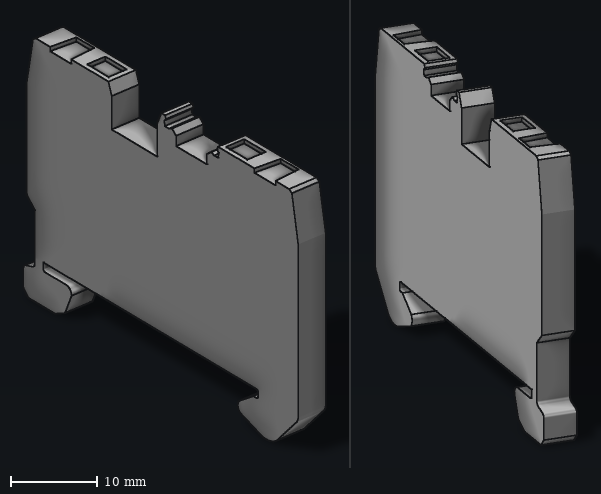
import cadquery as cq

LENGTH = 49.3
THICKNESS = 4.2
HEIGHT = 35.4

BODY_LEFT = 0.6
SHOULDER_Z = 28.7
TOP_LEFT = 1.75
TOP_RIGHT = 48.15
TOP_CHAMFER_X = 0.5
TOP_CHAMFER_Z = 0.35
SLOT_TOP = 5.95
SLOT_BOTTOM = 4.8
SLOT_LEFT = 3.6
SLOT_RIGHT = 42.1
SLOT_CORNER = 0.35
NECK_X = 2.05

NECK_STEP_BOTTOM = 12.3
NECK_STEP_TOP = 13.7

HEEL_UPPER_ARC = [(LENGTH, 5.45), (49.2, 5.1), (49.0, 4.75)]
HEEL_LOWER_ARC = [(45.4, 0.65), (43.65, 0), (42.75, 0.1)]
HOOK_TIP_ARC = [(38.85, 1.5), (38.45, 2.2), (38.7, 3.0)]
HOOK_RAMP_END_X = 41.25

TOE_ARC = [(7.65, SLOT_BOTTOM), (8.4, 4.5), (8.7, 3.75)]
FOOT_BASE = [(7.5, 0.9), (5.7, 0), (0.9, 0), (0, 0.95)]
FOOT_HEEL_ARC = [(0, 3.55), (0.15, 4.0), (0.5, 4.2)]
NECK_ROOT_ARC = [(1.7, 4.55), (1.95, 4.8), (NECK_X, 5.25)]

NOTCH_LEFT = 15.85
NOTCH_RIGHT = 24.0
NOTCH_FLOOR = 29.25
NOTCH_LEAD_Z = 33.7
NOTCH_LEFT_FLARE = 0.6
NOTCH_RIGHT_FLARE = 0.75

SEAT_CENTER = 30.15
SEAT_FLOOR = 32.15
SEAT_EDGE = [
    (4.75, HEIGHT),
    (4.6, 34.95),
    (4.9, 34.6),
    (4.8, 33.9),
    (4.05, 33.9),
    (3.5, 34.15),
    (2.75, 33.5),
    (2.75, SEAT_FLOOR),
]

POCKET_DEPTH = 0.6
SCREEN_POCKET_FRONT = 0.7
SCREEN_POCKET_BACK = 3.45
SCREEN_POCKET_WIDTH = 3.85
SCREEN_POCKET_CENTERS = [12.55, 37.45]
ENTRY_POCKET_BACK = 3.75
ENTRY_FRONT_WIDTH = 3.8
ENTRY_BACK_WIDTH = 3.2
ENTRY_POCKET_CENTERS = [6.7, 43.35]


def line_then_arc(outline, arc):
    """Draw a line to the arc's start, then the arc itself."""
    start, middle, end = arc
    return outline.lineTo(*start).threePointArc(middle, end)


def make_plate():
    """Closed X-Z outline, traced clockwise from the left shoulder and extruded along Y."""
    left_seat = [(SEAT_CENTER - x, z) for x, z in SEAT_EDGE]
    right_seat = [(SEAT_CENTER + x, z) for x, z in reversed(SEAT_EDGE)]
    top_edge = [
        (TOP_LEFT, HEIGHT - TOP_CHAMFER_Z),
        (TOP_LEFT + TOP_CHAMFER_X, HEIGHT),
        (NOTCH_LEFT - NOTCH_LEFT_FLARE, HEIGHT),
        (NOTCH_LEFT, NOTCH_LEAD_Z),
        (NOTCH_LEFT, NOTCH_FLOOR),
        (NOTCH_RIGHT, NOTCH_FLOOR),
        (NOTCH_RIGHT, NOTCH_LEAD_Z),
        (NOTCH_RIGHT + NOTCH_RIGHT_FLARE, HEIGHT),
        *left_seat,
        *right_seat,
        (TOP_RIGHT - TOP_CHAMFER_X, HEIGHT),
        (TOP_RIGHT, HEIGHT - TOP_CHAMFER_Z),
        (LENGTH, SHOULDER_Z),
    ]
    outline = cq.Workplane("XZ").moveTo(BODY_LEFT, SHOULDER_Z)
    for x, z in top_edge:
        outline = outline.lineTo(x, z)

    for arc in (HEEL_UPPER_ARC, HEEL_LOWER_ARC, HOOK_TIP_ARC):
        outline = line_then_arc(outline, arc)
    outline = (
        outline.lineTo(HOOK_RAMP_END_X, SLOT_BOTTOM)
        .lineTo(SLOT_RIGHT - SLOT_CORNER, SLOT_BOTTOM)
        .radiusArc((SLOT_RIGHT, SLOT_BOTTOM + SLOT_CORNER), -SLOT_CORNER)
        .lineTo(SLOT_RIGHT, SLOT_TOP - SLOT_CORNER)
        .radiusArc((SLOT_RIGHT - SLOT_CORNER, SLOT_TOP), -SLOT_CORNER)
    )

    outline = (
        outline.lineTo(SLOT_LEFT, SLOT_TOP)
        .lineTo(SLOT_LEFT, SLOT_BOTTOM + SLOT_CORNER)
        .radiusArc((SLOT_LEFT + SLOT_CORNER, SLOT_BOTTOM), -SLOT_CORNER)
    )
    outline = line_then_arc(outline, TOE_ARC)
    for x, z in FOOT_BASE:
        outline = outline.lineTo(x, z)
    for arc in (FOOT_HEEL_ARC, NECK_ROOT_ARC):
        outline = line_then_arc(outline, arc)
    outline = outline.lineTo(NECK_X, NECK_STEP_BOTTOM).lineTo(BODY_LEFT, NECK_STEP_TOP).close()
    return outline.extrude(-THICKNESS)


def make_screen_pocket(center_x):
    """Rectangular pocket enclosed by the top face."""
    depth_y = SCREEN_POCKET_BACK - SCREEN_POCKET_FRONT
    corner = (center_x - SCREEN_POCKET_WIDTH / 2, SCREEN_POCKET_FRONT, HEIGHT - POCKET_DEPTH)
    return cq.Workplane("XY").box(SCREEN_POCKET_WIDTH, depth_y, POCKET_DEPTH, centered=False).translate(corner)


def make_entry_pocket(center_x):
    """Tapered pocket open through the front face."""
    return (
        cq.Workplane("XY", origin=(center_x, 0, HEIGHT - POCKET_DEPTH))
        .polyline([
            (-ENTRY_FRONT_WIDTH / 2, 0),
            (ENTRY_FRONT_WIDTH / 2, 0),
            (ENTRY_BACK_WIDTH / 2, ENTRY_POCKET_BACK),
            (-ENTRY_BACK_WIDTH / 2, ENTRY_POCKET_BACK),
        ])
        .close()
        .extrude(POCKET_DEPTH)
    )


result = make_plate()
for pocket_x in SCREEN_POCKET_CENTERS:
    result = result.cut(make_screen_pocket(pocket_x))
for pocket_x in ENTRY_POCKET_CENTERS:
    result = result.cut(make_entry_pocket(pocket_x))